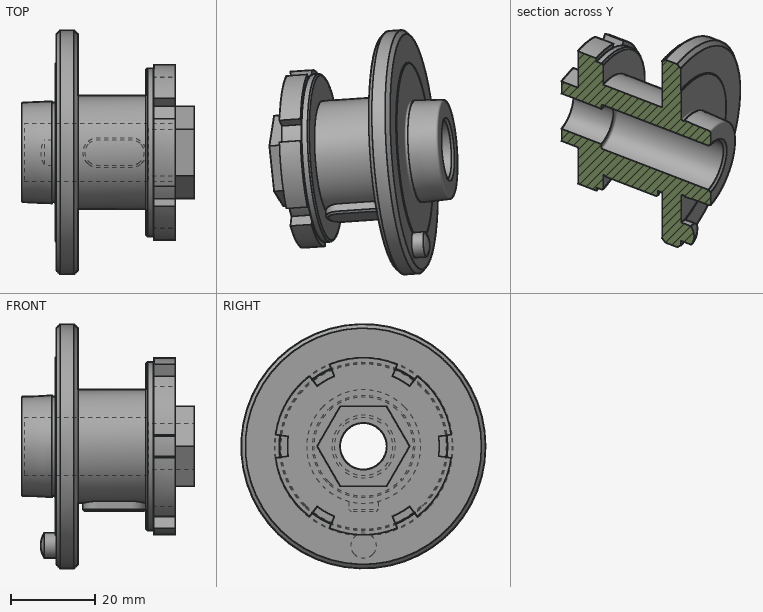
import cadquery as cq
import math


snout_end_radius = 11.85
snout_flare_radius = 12.15
snout_flare_x = 7.2
snout_edge_round = 0.5
neck_groove_radius = 11.8
neck_groove_x = 7.5
neck_end_radius = 12.1

pad_face_x = 8.0
pad_radius = 21.2
pad_chamfer = 0.2
flange_face_x = pad_face_x + pad_chamfer
flange_back_x = 13.4
flange_radius = 29.0
flange_chamfer = 1.0

body_radius = 13.5
collar_face_x = 29.5
collar_radius = 20.0
collar_chamfer = 0.4
collar_back_chamfer = 0.15

nut_face_x = 31.4
nut_back_x = 36.5
nut_radius = 21.0
nut_slot_count = 6
nut_slot_angle = 15.0
nut_slot_floor_radius = 18.0
slot_overshoot = 1.0

hex_sides = 6
hex_across_flats = 19.0
total_length = 41.0

through_bore_radius = 5.5
counterbore_radius = 6.9
counterbore_depth = 30.0
counterbore_mouth_radius = 7.5
counterbore_floor_fillet = 0.4

key_length = 15.0
key_width = 7.0
key_chamfer = 0.5
key_start_x = collar_face_x - key_length
key_bottom_z = -15.4
key_seat_z = -10.0

pin_radius = 3.0
pin_z = -23.5
pin_shoulder_x = 5.4
pin_tip_x = 4.5


def turned_body():
    """Snout, pad, flange, body, collar and nut blank as one revolved profile."""
    return (
        cq.Workplane("XY")
        .lineTo(0, snout_end_radius - snout_edge_round)
        .radiusArc((snout_edge_round, snout_end_radius), snout_edge_round)
        .lineTo(snout_flare_x, snout_flare_radius)
        .threePointArc((neck_groove_x, neck_groove_radius), (pad_face_x, neck_end_radius))
        .lineTo(pad_face_x, pad_radius - pad_chamfer)
        .lineTo(pad_face_x + pad_chamfer, pad_radius)
        .lineTo(flange_face_x, flange_radius - flange_chamfer)
        .lineTo(flange_face_x + flange_chamfer, flange_radius)
        .lineTo(flange_back_x - flange_chamfer, flange_radius)
        .lineTo(flange_back_x, flange_radius - flange_chamfer)
        .lineTo(flange_back_x, body_radius)
        .lineTo(collar_face_x, body_radius)
        .lineTo(collar_face_x, collar_radius - collar_chamfer)
        .lineTo(collar_face_x + collar_chamfer, collar_radius)
        .lineTo(nut_face_x - collar_back_chamfer, collar_radius)
        .lineTo(nut_face_x, collar_radius - collar_back_chamfer)
        .lineTo(nut_face_x, nut_radius)
        .lineTo(nut_back_x, nut_radius)
        .lineTo(nut_back_x, 0)
        .close()
        .revolve(360, (0, 0, 0), (1, 0, 0))
    )


def nut_slots():
    """Spanner slots around the nut with radial walls, one of them facing -Y."""
    slot_reach = nut_radius + slot_overshoot
    slot_length = nut_back_x - nut_face_x
    slots = cq.Workplane("XY")
    for index in range(nut_slot_count):
        start_angle = index * 360 / nut_slot_count - nut_slot_angle / 2
        slot = (
            cq.Workplane("XY")
            .moveTo(nut_face_x, nut_slot_floor_radius)
            .rect(slot_length, slot_reach - nut_slot_floor_radius, centered=False)
            .revolve(nut_slot_angle, (0, 0, 0), (1, 0, 0))
            .rotate((0, 0, 0), (1, 0, 0), start_angle)
        )
        slots = slots.add(slot)
    return slots.combine()


def hex_end():
    """Hexagon with flats facing +Z and -Z."""
    across_corners = hex_across_flats / math.cos(math.pi / hex_sides)
    return (
        cq.Workplane("YZ", origin=(nut_back_x, 0, 0))
        .polygon(hex_sides, across_corners)
        .extrude(total_length - nut_back_x)
    )


def key():
    """Round-ended key let into the underside of the body."""
    return (
        cq.Workplane("XY", origin=(key_start_x + key_length / 2, 0, key_bottom_z))
        .slot2D(key_length, key_width)
        .extrude(key_seat_z - key_bottom_z)
        .faces("<Z")
        .chamfer(key_chamfer)
    )


def pin():
    """Locating pin with a domed tip, standing on the flange face and seated through it."""
    dome_height = pin_shoulder_x - pin_tip_x
    dome_radius = (pin_radius**2 + dome_height**2) / (2 * dome_height)
    return (
        cq.Workplane("XY")
        .moveTo(flange_back_x, 0)
        .lineTo(flange_back_x, pin_radius)
        .lineTo(pin_shoulder_x, pin_radius)
        .radiusArc((pin_tip_x, 0), -dome_radius)
        .close()
        .revolve(360, (0, 0, 0), (1, 0, 0))
        .translate((0, 0, pin_z))
    )


def bore():
    """Through hole with a chamfered, round-bottomed counterbore from the snout end."""
    mouth_chamfer = counterbore_mouth_radius - counterbore_radius
    return (
        cq.Workplane("XY")
        .lineTo(0, counterbore_mouth_radius)
        .lineTo(mouth_chamfer, counterbore_radius)
        .lineTo(counterbore_depth - counterbore_floor_fillet, counterbore_radius)
        .radiusArc(
            (counterbore_depth, counterbore_radius - counterbore_floor_fillet),
            counterbore_floor_fillet,
        )
        .lineTo(counterbore_depth, through_bore_radius)
        .lineTo(total_length, through_bore_radius)
        .lineTo(total_length, 0)
        .close()
        .revolve(360, (0, 0, 0), (1, 0, 0))
    )


outside = turned_body().cut(nut_slots()).union(hex_end()).union(key()).union(pin())
result = outside.cut(bore())